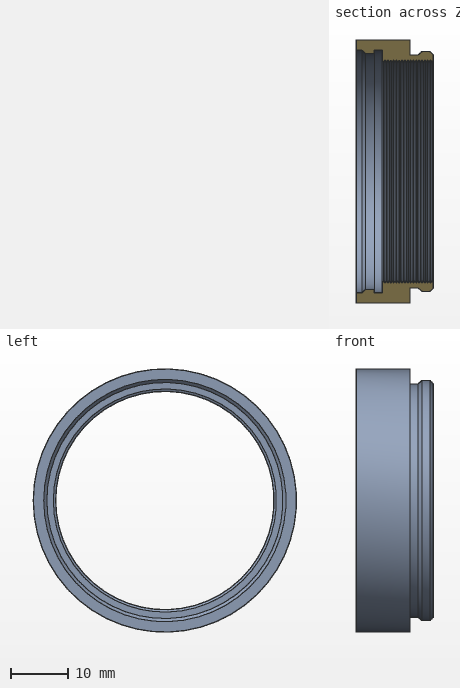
import cadquery as cq

body_length = 9.45
relief_end = 10.8
lip_start = 11.5
lip_end = 12.9
total_length = 13.5

body_diameter = 46.0
relief_diameter = 40.8
lip_diameter = 42.0
tip_diameter = relief_diameter

entry_diameter = 42.3
seat_diameter = 41.2
entry_depth = 1.0
cone_end = 1.6
seat_end = 3.17
undercut_diameter = entry_diameter
socket_depth = 4.55

bore_diameter = 38.1
groove_diameter = 38.95
groove_count = 18


def revolve_about_x(profile):
    """Revolve (x, diameter) corners, closed along the X axis, into a solid."""
    start_x = profile[0][0]
    end_x = profile[-1][0]
    outline = [(start_x, 0)]
    outline += [(x, diameter / 2) for x, diameter in profile]
    outline.append((end_x, 0))
    return cq.Workplane("XY").polyline(outline).close().revolve(360, (0, 0), (1, 0))


def make_outer_body():
    """Ring body with a relief groove and a chamfered lip on its spigot."""
    return revolve_about_x([
        (0, body_diameter),
        (body_length, body_diameter),
        (body_length, relief_diameter),
        (relief_end, relief_diameter),
        (lip_start, lip_diameter),
        (lip_end, lip_diameter),
        (total_length, tip_diameter),
    ])


def make_bore():
    """Stepped, undercut socket followed by the grooved through bore."""
    profile = [
        (0, entry_diameter),
        (entry_depth, entry_diameter),
        (cone_end, seat_diameter),
        (seat_end, seat_diameter),
        (seat_end, undercut_diameter),
        (socket_depth, undercut_diameter),
    ]
    groove_pitch = (total_length - socket_depth) / groove_count
    for index in range(groove_count):
        groove_x = socket_depth + index * groove_pitch
        profile.append((groove_x, groove_diameter))
        profile.append((groove_x + groove_pitch / 2, bore_diameter))
    profile.append((total_length, groove_diameter))
    return revolve_about_x(profile)


result = make_outer_body().cut(make_bore())